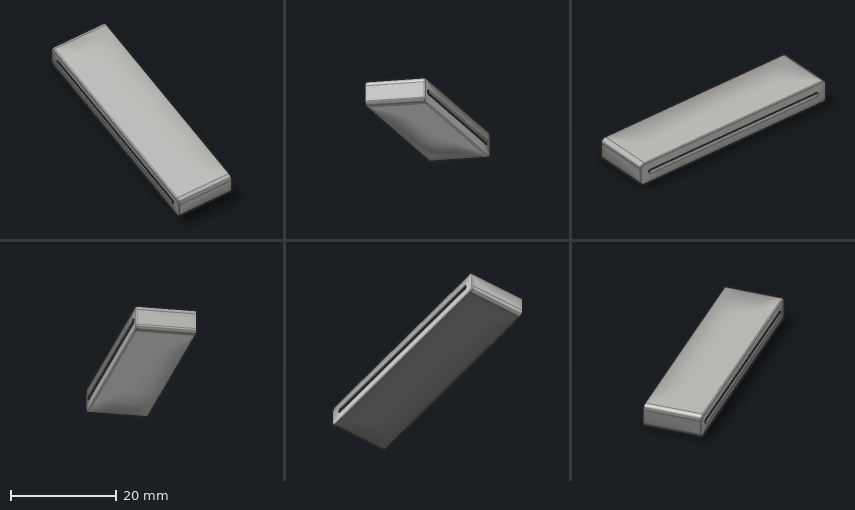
import cadquery as cq

length = 46.0
depth = 12.0
height = 5.0
corner_radius = 1.0
rim_size = 0.25

slot_length = 41.5
slot_height = 0.5
slot_rim = 0.25


def rounded_block():
    """Flat bar with rounded long corners and rounded front and back rims."""
    bar = cq.Workplane("XY").box(length, depth, height)
    bar = bar.edges("|Y").fillet(corner_radius)
    return bar.faces("<Y or >Y").edges().fillet(rim_size)


def slot_cutter():
    """Round-ended slot running along Y through the whole depth."""
    return (
        cq.Workplane("XZ")
        .slot2D(slot_length, slot_height)
        .extrude(depth, both=True)
    )


def slot_mouth_edges(body):
    """Edges of the slot openings on the front and back faces."""
    reach = slot_length / 2 + slot_rim
    mouth = cq.selectors.BoxSelector(
        (-reach, -depth, -slot_height),
        (reach, depth, slot_height),
    )
    return body.faces("<Y or >Y").edges(mouth)


slotted = rounded_block().cut(slot_cutter())
result = slot_mouth_edges(slotted).fillet(slot_rim)